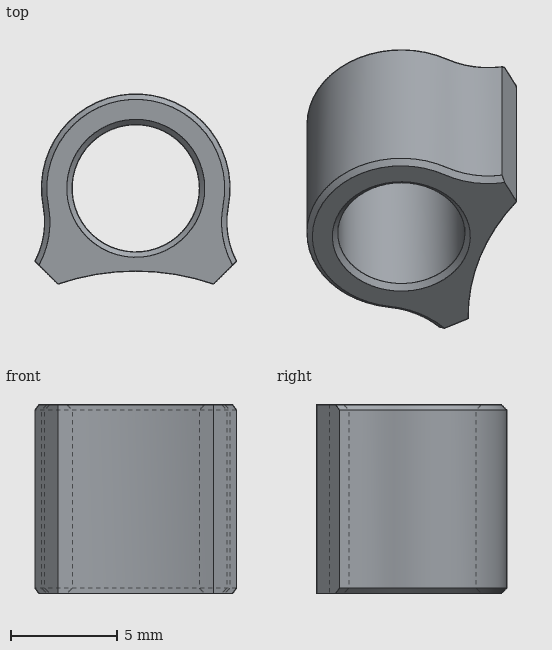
import cadquery as cq
import math

height = 8.89
outer_radius = 4.45
bore_radius = 2.99
chamfer_size = 0.26

tip_x = 4.75
tip_y = -3.44
toe_x = 3.66
toe_y = -4.51
saddle_rise = 0.61
blend_start_y = -0.84

blend_start_x = math.sqrt(outer_radius**2 - blend_start_y**2)
normal_x = blend_start_x / outer_radius
normal_y = blend_start_y / outer_radius
chord_x = tip_x - blend_start_x
chord_y = tip_y - blend_start_y
chord_along_normal = chord_x * normal_x + chord_y * normal_y
flank_radius = (chord_x**2 + chord_y**2) / (2 * chord_along_normal)
flank_center_x = blend_start_x + flank_radius * normal_x
flank_center_y = blend_start_y + flank_radius * normal_y

flank_mid_y = (blend_start_y + tip_y) / 2
flank_mid_x = flank_center_x - math.sqrt(flank_radius**2 - (flank_mid_y - flank_center_y)**2)


def make_body():
    """Round body with two feet and a concave saddle between them."""
    return (
        cq.Workplane("XY")
        .moveTo(blend_start_x, blend_start_y)
        .threePointArc((0, outer_radius), (-blend_start_x, blend_start_y))
        .threePointArc((-flank_mid_x, flank_mid_y), (-tip_x, tip_y))
        .lineTo(-toe_x, toe_y)
        .threePointArc((0, toe_y + saddle_rise), (toe_x, toe_y))
        .lineTo(tip_x, tip_y)
        .threePointArc((flank_mid_x, flank_mid_y), (blend_start_x, blend_start_y))
        .close()
        .extrude(height)
    )


def chamfer_rims(body):
    """Chamfer the round body and flanks at both ends, leaving the feet and saddle sharp."""
    end_edges = body.faces("|Z").edges("%CIRCLE")
    return end_edges.edges(cq.selectors.BoxSelector(
        (-2 * tip_x, tip_y, -height), (2 * tip_x, outer_radius, 2 * height)
    )).chamfer(chamfer_size)


def make_bore_cutter():
    """Through bore with a conical chamfer at each end."""
    mouth_radius = bore_radius + chamfer_size
    return (
        cq.Workplane("XZ")
        .polyline([
            (0, 0),
            (mouth_radius, 0),
            (bore_radius, chamfer_size),
            (bore_radius, height - chamfer_size),
            (mouth_radius, height),
            (0, height),
        ])
        .close()
        .revolve(360, (0, 0), (0, 1))
    )


result = chamfer_rims(make_body()).cut(make_bore_cutter())